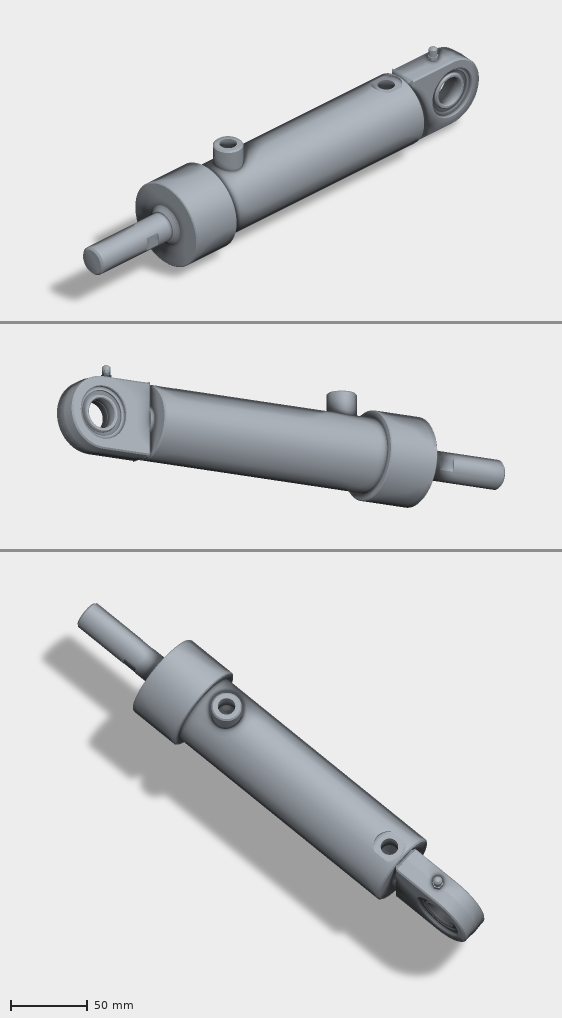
import cadquery as cq
import math


BARREL_DIA = 50.0
BARREL_REAR_Y = 105.5
BARREL_CHAMFER = 1.0
HEAD_DIA = 60.0
HEAD_LENGTH = 36.0
HEAD_FRONT_Y = -102.8
HEAD_REAR_Y = HEAD_FRONT_Y + HEAD_LENGTH
HEAD_CHAMFER = 0.7

PORT_HOLE_DIA = 11.5
PORT_HOLE_DEPTH = 12.0
DRILL_POINT_ANGLE = 118
REAR_PORT_Y = 93.7
SPOTFACE_DIA = 21.0
SPOTFACE_WIDTH = 18.0
FRONT_PORT_Y = -47.2
BOSS_DIA = 20.0
BOSS_TOP_Z = 39.0
BOSS_CHAMFER = 1.0

REAR_Y = 168.5
EYE_DIA = BARREL_DIA
EYE_THICKNESS = 20.0
EYE_CENTRE_Y = REAR_Y - EYE_DIA / 2
EYE_BASE_Y = 108.2
EYE_CHAMFER = 1.0
EYE_DRAFT_ANGLE = 3
STUB_DIA = 24.0

BEARING_DIA = 35.0
BEARING_WIDTH = 14.8
SEAT_MOUTH_DIA = 36.0
RACE_DIA = 30.5
RACE_WIDTH = 12.0
BALL_WIDTH = 16.0
BALL_FACE_DIA = 24.0
BALL_BORE_DIA = 20.0
BALL_BORE_CHAMFER = 0.7
BORE_GROOVE_WIDTH = 2.7
BORE_GROOVE_DEPTH = 0.5

NIPPLE_Y = 135.5
NIPPLE_ROOT_Z = 23.0
NIPPLE_HEX_FLATS = 6.0
NIPPLE_HEX_TOP_Z = 28.0
NIPPLE_BODY_DIA = 5.5
NIPPLE_BODY_TOP_Z = 30.3
NIPPLE_HEAD_DIA = 5.7
NIPPLE_HEAD_EDGE_Z = 33.0
NIPPLE_TOP_DIA = 3.0
NIPPLE_TOP_Z = 34.5

ROD_DIA = 28.3
ROD_INNER_Y = HEAD_REAR_Y
ROD_SHOULDER_LENGTH = 3.5
ROD_TIP_DIA = 20.0
ROD_TIP_Y = -168.5
ROD_TIP_CHAMFER = 1.5
ROD_FLATS_WIDTH = 17.5
ROD_FLATS_REAR_Y = -118.0
ROD_FLATS_LENGTH = 10.0


def cylinder_y(diameter, y_start, y_end):
    """Cylinder on the Y axis from y_start to the larger y_end."""
    plane = cq.Plane(origin=(0, y_start, 0), xDir=(1, 0, 0), normal=(0, 1, 0))
    return cq.Workplane(plane).circle(diameter / 2).extrude(y_end - y_start)


def cylinder_z(diameter, y, z_start, z_end):
    """Upright cylinder on the plane X = 0."""
    base = cq.Workplane("XY", origin=(0, y, z_start))
    return base.circle(diameter / 2).extrude(z_end - z_start)


def cylinder_x(diameter, width):
    """Cylinder on the eye's bore axis, centred on the plane X = 0."""
    base = cq.Workplane("YZ", origin=(0, EYE_CENTRE_Y, 0))
    return base.circle(diameter / 2).extrude(width / 2, both=True)


def port_hole(y, top_z):
    """Blind round hole with a conical drill point."""
    radius = PORT_HOLE_DIA / 2
    bottom_z = top_z - PORT_HOLE_DEPTH
    tip_z = bottom_z - radius / math.tan(math.radians(DRILL_POINT_ANGLE / 2))
    half_profile = [(0, top_z), (radius, top_z), (radius, bottom_z), (0, tip_z)]
    profile = cq.Workplane("XZ", origin=(0, y, 0)).polyline(half_profile).close()
    return profile.revolve(360, (0, 0, 0), (0, 1, 0))


def make_barrel():
    """Barrel with its larger head, front port boss and rear port spotface."""
    barrel = cylinder_y(BARREL_DIA, HEAD_REAR_Y, BARREL_REAR_Y).faces(">Y").chamfer(BARREL_CHAMFER)
    head = cylinder_y(HEAD_DIA, HEAD_FRONT_Y, HEAD_REAR_Y).faces("<Y or >Y").chamfer(HEAD_CHAMFER)
    boss = cylinder_z(BOSS_DIA, FRONT_PORT_Y, 0, BOSS_TOP_Z).faces(">Z").chamfer(BOSS_CHAMFER)

    barrel_radius = BARREL_DIA / 2
    spotface_z = math.sqrt(barrel_radius**2 - (SPOTFACE_WIDTH / 2) ** 2)
    spotface = cylinder_z(SPOTFACE_DIA, REAR_PORT_Y, spotface_z, barrel_radius)

    body = barrel.union(head).union(boss).cut(spotface)
    body = body.cut(port_hole(FRONT_PORT_Y, BOSS_TOP_Z))
    return body.cut(port_hole(REAR_PORT_Y, spotface_z))


def half_eye():
    """The +X half of the eye, drafted away from the middle plane."""
    radius = EYE_DIA / 2
    outline = (
        cq.Workplane("YZ")
        .moveTo(BARREL_REAR_Y, -radius)
        .lineTo(EYE_CENTRE_Y, -radius)
        .threePointArc((REAR_Y, 0), (EYE_CENTRE_Y, radius))
        .lineTo(BARREL_REAR_Y, radius)
        .close()
    )
    lug = outline.extrude(EYE_THICKNESS / 2, taper=EYE_DRAFT_ANGLE)
    lug = lug.faces(">X").chamfer(EYE_CHAMFER)
    below_base = cq.Workplane("XY").box(EYE_DIA, 2 * EYE_BASE_Y, 2 * EYE_DIA)
    return lug.cut(below_base)


def weld_root():
    """Pyramid-shaped root and round stub that join the eye to the barrel."""
    gap = EYE_BASE_Y - BARREL_REAR_Y
    plane = cq.Plane(origin=(0, EYE_BASE_Y, 0), xDir=(1, 0, 0), normal=(0, -1, 0))
    bevel = cq.Workplane(plane).rect(EYE_THICKNESS, EYE_DIA).extrude(gap, taper=45)
    return bevel.union(cylinder_y(STUB_DIA, BARREL_REAR_Y, EYE_BASE_Y))


def bearing_seat():
    """Through bore that fits the bearing, with a chamfered mouth on each side."""
    mouth_depth = (SEAT_MOUTH_DIA - BEARING_DIA) / 2
    bore = cylinder_x(BEARING_DIA, EYE_THICKNESS)
    for side in (-1, 1):
        mouth = (
            cq.Workplane("YZ", origin=(side * EYE_THICKNESS / 2, EYE_CENTRE_Y, 0))
            .circle(SEAT_MOUTH_DIA / 2)
            .extrude(-side * mouth_depth, taper=45)
        )
        bore = bore.union(mouth)
    return bore


def make_nipple():
    """Hexagon, round body and tapered head; two hexagon corners point along X."""
    hexagon = (
        cq.Workplane("XY", origin=(0, NIPPLE_Y, NIPPLE_ROOT_Z))
        .transformed(rotate=(0, 0, 90))
        .polygon(6, NIPPLE_HEX_FLATS, circumscribed=True)
        .extrude(NIPPLE_HEX_TOP_Z - NIPPLE_ROOT_Z)
    )
    body = cylinder_z(NIPPLE_BODY_DIA, NIPPLE_Y, NIPPLE_HEX_TOP_Z, NIPPLE_BODY_TOP_Z)
    head = cylinder_z(NIPPLE_HEAD_DIA, NIPPLE_Y, NIPPLE_BODY_TOP_Z, NIPPLE_TOP_Z)
    taper = (NIPPLE_HEAD_DIA - NIPPLE_TOP_DIA) / 2
    head = head.faces(">Z").chamfer(NIPPLE_TOP_Z - NIPPLE_HEAD_EDGE_Z, taper)
    return hexagon.union(body).union(head)


def make_cylinder():
    """Barrel, head, eye and nipple as one welded body."""
    half = half_eye()
    eye = half.union(half.mirror("YZ")).union(weld_root()).cut(bearing_seat())
    body = make_barrel().union(eye).union(make_nipple())
    return body.cut(cylinder_y(ROD_DIA, HEAD_FRONT_Y, ROD_INNER_Y))


def make_bearing():
    """Outer ring recessed around a protruding ball, bored through with a grease groove."""
    ball_radius = math.hypot(BALL_WIDTH, BALL_FACE_DIA) / 2
    bore_radius = BALL_BORE_DIA / 2
    groove_radius = bore_radius + BORE_GROOVE_DEPTH
    ball_face_x = BALL_WIDTH / 2
    race_x = RACE_WIDTH / 2
    arc_middle_x = (ball_face_x + race_x) / 2

    def on_ball(x):
        return (x, math.sqrt(ball_radius**2 - x**2))

    section = (
        cq.Workplane("XY", origin=(0, EYE_CENTRE_Y, 0))
        .moveTo(0, groove_radius)
        .lineTo(BORE_GROOVE_WIDTH / 2, groove_radius)
        .lineTo(BORE_GROOVE_WIDTH / 2, bore_radius)
        .lineTo(ball_face_x - BALL_BORE_CHAMFER, bore_radius)
        .lineTo(ball_face_x, bore_radius + BALL_BORE_CHAMFER)
        .lineTo(ball_face_x, BALL_FACE_DIA / 2)
        .threePointArc(on_ball(arc_middle_x), on_ball(race_x))
        .lineTo(race_x, RACE_DIA / 2)
        .lineTo(BEARING_WIDTH / 2, RACE_DIA / 2)
        .lineTo(BEARING_WIDTH / 2, BEARING_DIA / 2)
        .lineTo(0, BEARING_DIA / 2)
        .close()
    )
    half = section.revolve(360, (0, 0, 0), (1, 0, 0))
    return half.union(half.mirror("YZ"))


def make_rod():
    """Rod with a 45 degree shoulder, then a step down to a tip with two wrench flats."""
    tip = cylinder_y(ROD_TIP_DIA, ROD_TIP_Y, HEAD_FRONT_Y).faces("<Y").chamfer(ROD_TIP_CHAMFER)
    rod = cylinder_y(ROD_DIA, HEAD_FRONT_Y, ROD_INNER_Y)
    shoulder = (
        cq.Workplane("XZ", origin=(0, HEAD_FRONT_Y, 0))
        .circle(ROD_DIA / 2)
        .extrude(ROD_SHOULDER_LENGTH, taper=45)
    )
    rod = rod.union(shoulder)
    flats_y = ROD_FLATS_REAR_Y - ROD_FLATS_LENGTH / 2
    stock = cq.Workplane("XY", origin=(0, flats_y, 0)).box(ROD_DIA, ROD_FLATS_LENGTH, ROD_DIA)
    kept = cq.Workplane("XY", origin=(0, flats_y, 0)).box(ROD_FLATS_WIDTH, ROD_FLATS_LENGTH, ROD_DIA)
    return rod.union(tip).cut(stock.cut(kept))


cylinder = make_cylinder()
bearing = make_bearing()
rod = make_rod()

result = cq.Compound.makeCompound([body.solids().val() for body in (cylinder, bearing, rod)])